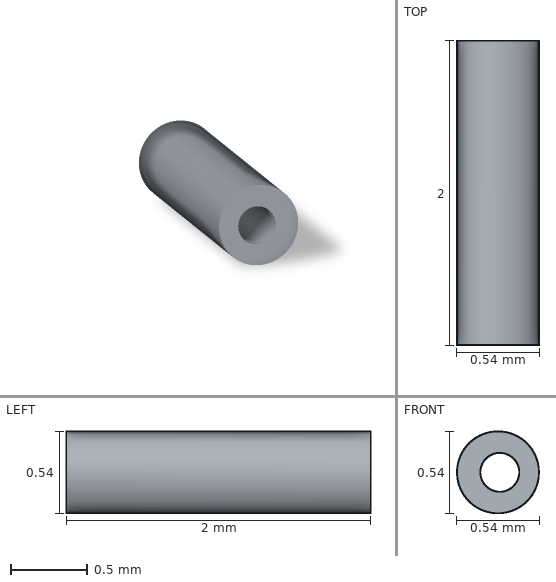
import cadquery as cq

length = 2.0
outer_diameter = 0.54
bore_diameter = 0.255
bore_offset_x = 0.012

result = (
    cq.Workplane("XZ", origin=(0, length / 2, 0))
    .circle(outer_diameter / 2)
    .moveTo(bore_offset_x, 0)
    .circle(bore_diameter / 2)
    .extrude(length)
)